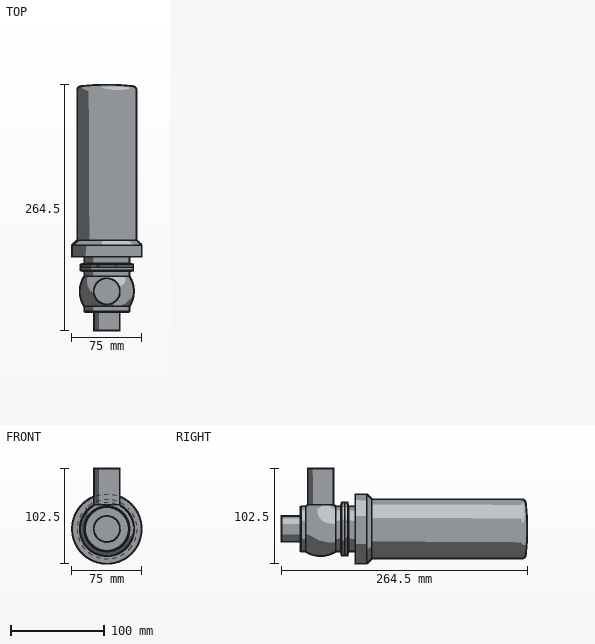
import cadquery as cq
import math


neck_radius = 49.0 / 2
joint_radius = 57.0 / 2
joint_face_y = 25.7
joint_rim_width = 3.2
joint_taper_angle = 15
joint_taper_length = (joint_radius - neck_radius) * math.tan(math.radians(joint_taper_angle))

front_y = -42.3
sleeve_front_y = -22.2
sleeve_chamfer = 1.0
ball_radius = 29.4
pipe_radius = 28.0 / 2
upright_top_z = 65.0

overall_length = 264.5
canister_end_y = front_y + overall_length
canister_radius = 64.0 / 2
collar_radius = 75.0 / 2
collar_front_y = 37.0
collar_rim_width = 12.7
collar_taper_length = 5.3
dome_height = 2.0
dome_edge_fillet = 4.8


def revolve_about_y(profile):
    """Turn a closed half-profile of radius (X) against Y into a solid."""
    return profile.close().revolve(360, (0, 0, 0), (0, 1, 0))


def make_valve():
    rim_back_y = joint_face_y - joint_rim_width
    ball_front_y = sleeve_front_y + sleeve_chamfer
    sleeve = revolve_about_y(
        cq.Workplane("XY")
        .moveTo(0, front_y)
        .lineTo(pipe_radius, front_y)
        .lineTo(pipe_radius, sleeve_front_y)
        .lineTo(neck_radius - sleeve_chamfer, sleeve_front_y)
        .lineTo(neck_radius, sleeve_front_y + sleeve_chamfer)
        .lineTo(neck_radius, rim_back_y - joint_taper_length)
        .lineTo(joint_radius, rim_back_y)
        .lineTo(joint_radius, joint_face_y)
        .lineTo(0, joint_face_y)
    )
    ball_length = ball_radius - ball_front_y
    ball_envelope = cq.Workplane("XY").box(2 * ball_radius, ball_length, 2 * ball_radius)
    ball_envelope = ball_envelope.translate((0, ball_front_y + ball_length / 2, 0))
    ball = cq.Workplane("XY").sphere(ball_radius).intersect(ball_envelope)
    upright_pipe = cq.Workplane("XY").circle(pipe_radius).extrude(upright_top_z)
    return sleeve.union(ball).union(upright_pipe)


def make_canister():
    rim_back_y = joint_face_y + joint_rim_width
    collar_back_y = collar_front_y + collar_rim_width
    dome_base_y = canister_end_y - dome_height
    dome_radius = (canister_radius**2 + dome_height**2) / (2 * dome_height)
    mid_radius = canister_radius / 2
    dome_mid_y = canister_end_y - dome_radius + math.sqrt(dome_radius**2 - mid_radius**2)
    canister = revolve_about_y(
        cq.Workplane("XY")
        .moveTo(0, joint_face_y)
        .lineTo(joint_radius, joint_face_y)
        .lineTo(joint_radius, rim_back_y)
        .lineTo(neck_radius, rim_back_y + joint_taper_length)
        .lineTo(neck_radius, collar_front_y)
        .lineTo(collar_radius, collar_front_y)
        .lineTo(collar_radius, collar_back_y)
        .lineTo(canister_radius, collar_back_y + collar_taper_length)
        .lineTo(canister_radius, dome_base_y)
        .threePointArc((mid_radius, dome_mid_y), (0, canister_end_y))
    )
    dome_edge = cq.selectors.BoxSelector(
        (-collar_radius, dome_base_y - dome_height / 2, -collar_radius),
        (collar_radius, dome_base_y + dome_height / 2, collar_radius),
        boundingbox=True,
    )
    return canister.edges(dome_edge).fillet(dome_edge_fillet)


valve = make_valve()
canister = make_canister()
result = cq.Compound.makeCompound([valve.solids().val(), canister.solids().val()])